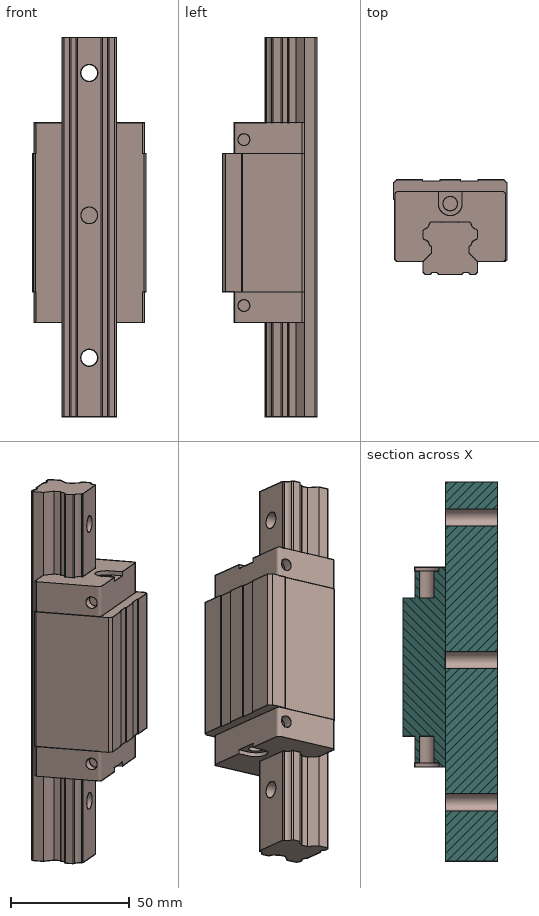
import cadquery as cq
import math


rail_length = 160.0
rail_height = 22.0
rail_half_width = 11.5
rail_foot_chamfer = 1.0
crown_chamfer = 0.6
flare_bottom = 5.5
flare_top = 9.0
waist_top = 11.8
waist_half_width = 8.0
lip_half_width = 8.8
lip_bottom = 12.5
land_bottom = 15.4
land_top = 18.5
land_chamfer = 0.6
race_diameter = 5.0

relief_inner = 5.0
relief_outer = 8.3
relief_depth = 0.8
relief_slope_width = 0.6

mount_diameter = 7.0
mount_pitch = 60.0
mount_count = 3
first_mount_z = 25.0

carriage_width = 48.0
carriage_top = 40.0
carriage_bottom = flare_bottom
carriage_mid_z = 82.0
block_length = 58.4
block_chamfer = 1.5
block_foot_chamfer = 1.0
ledge_y = 31.5
ledge_width = 0.5

top_groove_width = 7.2
top_groove_depth = 0.5
top_groove_x = 8.0

cap_length = 13.0
cap_width = 46.7
cap_top = 35.0
cap_crown_fillet = 1.5
cap_foot_chamfer = 1.0
carriage_length = block_length + 2 * cap_length

port_y = 30.0
port_diameter = 6.0
slot_width = 10.0
slot_depth = 1.8

side_hole_diameter = 5.0
side_hole_depth = 4.8
side_hole_y = 30.9
side_hole_inset = 7.2


def rail_bar():
    """Extrude the rail section, without mounting holes."""
    race_radius = race_diameter / 2
    race_x = lip_half_width + race_radius
    land_edge = rail_half_width - land_chamfer
    race_rise = math.sqrt(race_radius**2 - (race_x - land_edge) ** 2)
    upper_race_y = land_top + land_chamfer + race_rise
    lower_race_y = land_bottom - land_chamfer - race_rise
    mid_angle = math.atan2(race_rise, race_x - land_edge) / 2
    mid_x = race_x - race_radius * math.cos(mid_angle)
    mid_rise = race_radius * math.sin(mid_angle)
    half = (
        cq.Workplane("XY")
        .moveTo(0, 0)
        .lineTo(relief_inner, 0)
        .lineTo(relief_inner + relief_slope_width, relief_depth)
        .lineTo(relief_outer - relief_slope_width, relief_depth)
        .lineTo(relief_outer, 0)
        .lineTo(rail_half_width - rail_foot_chamfer, 0)
        .lineTo(rail_half_width, rail_foot_chamfer)
        .lineTo(rail_half_width, flare_bottom)
        .lineTo(waist_half_width, flare_top)
        .lineTo(waist_half_width, waist_top)
        .lineTo(lip_half_width, lip_bottom)
        .lineTo(lip_half_width, lower_race_y)
        .threePointArc((mid_x, lower_race_y + mid_rise), (land_edge, land_bottom - land_chamfer))
        .lineTo(rail_half_width, land_bottom)
        .lineTo(rail_half_width, land_top)
        .lineTo(land_edge, land_top + land_chamfer)
        .threePointArc((mid_x, upper_race_y - mid_rise), (lip_half_width, upper_race_y))
        .lineTo(lip_half_width, rail_height - crown_chamfer)
        .lineTo(lip_half_width - crown_chamfer, rail_height)
        .lineTo(0, rail_height)
        .close()
        .extrude(rail_length)
    )
    return half.union(half.mirror("YZ")).clean()


def make_rail():
    """Rail with its row of mounting holes."""
    rail = rail_bar()
    for index in range(mount_count):
        hole_z = first_mount_z + index * mount_pitch
        hole = (
            cq.Workplane("XZ", origin=(0, 0, hole_z))
            .circle(mount_diameter / 2)
            .extrude(-rail_height)
        )
        rail = rail.cut(hole)
    return rail


def upright_box(x_range, y_range, length):
    """Box between two X and two Y limits, centred on the middle of the carriage in Z."""
    x_min, x_max = x_range
    y_min, y_max = y_range
    middle = ((x_min + x_max) / 2, (y_min + y_max) / 2, carriage_mid_z)
    return cq.Workplane("XY", origin=middle).box(x_max - x_min, y_max - y_min, length)


def make_block():
    """Middle part of the carriage: stepped on its -X side, grooved on top."""
    half_width = carriage_width / 2
    block = (
        cq.Workplane("XY", origin=(0, 0, carriage_mid_z - block_length / 2))
        .moveTo(-half_width, carriage_top)
        .lineTo(half_width, carriage_top)
        .lineTo(half_width, carriage_bottom)
        .lineTo(ledge_width - half_width, carriage_bottom)
        .lineTo(ledge_width - half_width, ledge_y)
        .lineTo(-half_width, ledge_y + ledge_width)
        .close()
        .extrude(block_length)
    )
    block = block.edges("|Z and >Y").chamfer(block_chamfer)
    block = block.edges("|Z and <Y").chamfer(block_foot_chamfer)
    for side in (-1, 1):
        middle = side * top_groove_x
        groove = upright_box(
            (middle - top_groove_width / 2, middle + top_groove_width / 2),
            (carriage_top - top_groove_depth, carriage_top),
            block_length,
        )
        block = block.cut(groove)
    return block


def cut_end_port(carriage, side):
    """Cut the slot and port into one end face; side is +1 for +Z and -1 for -Z."""
    end_z = carriage_mid_z + side * carriage_length / 2
    end_plane = cq.Workplane("XY", origin=(0, port_y, end_z))
    slot = end_plane.circle(slot_width / 2).extrude(-side * slot_depth)
    slot_mouth = (
        end_plane.center(0, (cap_top - port_y) / 2)
        .rect(slot_width, cap_top - port_y)
        .extrude(-side * slot_depth)
    )
    port = end_plane.circle(port_diameter / 2).extrude(-side * cap_length)
    return carriage.cut(slot).cut(slot_mouth).cut(port)


def cut_side_hole(carriage, end_side, width_side):
    """Cut one blind hole into the side of an end cap."""
    hole_z = carriage_mid_z + end_side * (carriage_length / 2 - side_hole_inset)
    hole = (
        cq.Workplane("YZ", origin=(width_side * cap_width / 2, side_hole_y, hole_z))
        .circle(side_hole_diameter / 2)
        .extrude(-width_side * side_hole_depth)
    )
    return carriage.cut(hole)


def make_carriage():
    """Block with its two end caps, bored to the rail section."""
    caps = upright_box((-cap_width / 2, cap_width / 2), (carriage_bottom, cap_top), carriage_length)
    caps = caps.edges("|Z and >Y").fillet(cap_crown_fillet)
    caps = caps.edges("|Z and <Y").chamfer(cap_foot_chamfer)
    carriage = make_block().union(caps).cut(rail_bar())
    for end_side in (-1, 1):
        carriage = cut_end_port(carriage, end_side)
        for width_side in (-1, 1):
            carriage = cut_side_hole(carriage, end_side, width_side)
    return carriage


rail = make_rail()
carriage = make_carriage()

result = cq.Compound.makeCompound([rail.val(), carriage.val()])